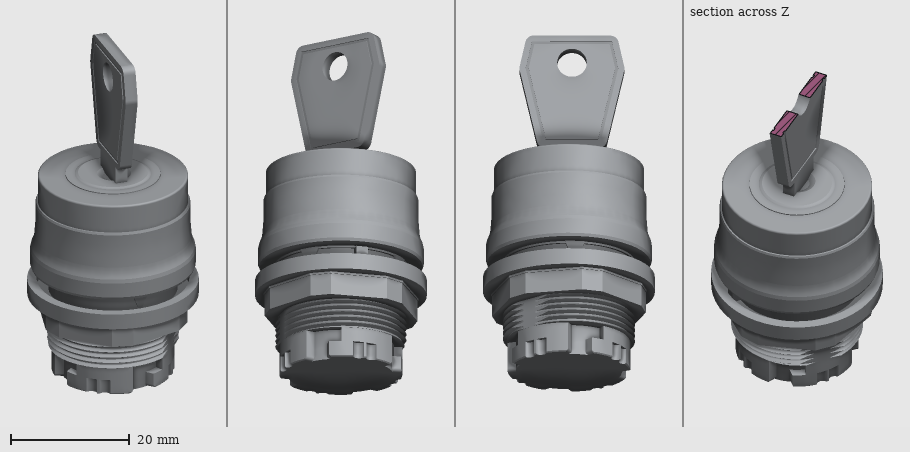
import cadquery as cq
import math


THREAD_BOTTOM = 5.15
NUT_BOTTOM = 10.2
NUT_TOP = 13.85
FLANGE_BOTTOM = 14.2
RECESS_FLOOR = 15.2
FLANGE_TOP = 16.95
RING_BOTTOM = 19.05
BEZEL_BOTTOM = 19.4
CAP_TOP = 36.36
LOCK_RING_TOP = 36.5
BARREL_TOP = 36.7
TOTAL_HEIGHT = 59.76

COLLAR_RADIUS = 20.75 / 2
COLLAR_CHAMFER = 0.2
SLOT_FLOOR_RADIUS = 17.91 / 2
SLOT_OVERCUT = 0.01
STEP_HEIGHT = 2.7
SLOT_COUNT = 4
SLOT_MOUTH_FILLET = 0.6
SLOT_START = (51, 47.1)
ENTRY_END = (28.3, 32.1)
LOCK_END = (16.3, 15.4)
SCALLOP_RADIUS = 1.0
SCALLOP_ANGLES = (0, -12.8)
SCALLOP_CENTER_OFFSET = 0.2
SCALLOP_CENTER_RADIUS = COLLAR_RADIUS + SCALLOP_CENTER_OFFSET

THREAD_ROOT_RADIUS = 20.92 / 2
THREAD_CREST_RADIUS = 22.3 / 2
THREAD_PITCH = 1.0
THREAD_FLANK_HALF_HEIGHT = 0.4
THREAD_ROOT_OVERLAP = 0.1
THREAD_START_ANGLE = -126

NUT_ACROSS_FLATS = 24.1
NUT_ACROSS_CORNERS = 25.75
NUT_TURN = -2.4
CORNER_TURN = 30
WASHER_MARGIN = 0.15
FLANGE_RADIUS = 29 / 2
FLANGE_BORE_RADIUS = 12.9
NECK_RADIUS = 21.85 / 2
RING_RADIUS = 22.6 / 2
WEDGE_COUNT = 4
WEDGE_START_ANGLE = 45
WEDGE_WIDTH = 3.4
WEDGE_TOP_RADIUS = 11.4
TAB_REACH = 12.35
TAB_WIDTH = 2.0

BEZEL_RADIUS = 28 / 2
BEZEL_CHAMFER_RADIUS = 13.8
BEZEL_CHAMFER_TOP = 19.9
BEZEL_SHOULDER = 22.5
BEZEL_FLARE_BOTTOM = (13.85, 23.17)
BEZEL_FLARE_MIDDLE = (13.47, 24.1)
BEZEL_FLARE_TOP = (13.28, 25.18)
BEZEL_WAIST = (13.08, 28.2)
BEZEL_TOP_RADIUS = 13.1
BEZEL_TOP = 31.45
BEZEL_TOP_CHAMFER_WIDTH = 0.15
BEZEL_TOP_CHAMFER_HEIGHT = 0.37
CAP_RADIUS = 12.7
CAP_FILLET = 0.35

LOCK_RING_RADIUS = 16 / 2
LOCK_BORE_RADIUS = 16.1 / 2
LOCK_GAP_DEPTH = 0.5
BARREL_RADIUS = 12.9 / 2
BARREL_BEVEL_WIDTH = 0.55
DISH_RADIUS = 2.9
DISH_FLOOR_RADIUS = 1.9
DISH_DEPTH = 0.5

KEY_TURN = -50
KEY_SHIFT = 0.5
KEY_THICKNESS = 2.15
KEY_BOTTOM = 39.66
KEY_WIDEST_LEVEL = 53.9
KEY_MAX_WIDTH = 17.8
KEY_TOP_WIDTH = 15.2
KEY_BOTTOM_WIDTH = 11.3
KEY_CORNER_RADIUS = 1.45
KEY_WIDEST_CORNER_RADIUS = 1.5
SHANK_WIDTH = 7.3
KEYWAY_CLEARANCE = 0.25
KEYWAY_DEPTH = 0.5
KEY_HOLE_DIAMETER = 5
KEY_HOLE_LEVEL = 54.88
GROOVE_INSET = 1.05
GROOVE_WIDTH = 0.5
GROOVE_DEPTH = 0.2


def cylinder(radius, bottom, top):
    return cq.Workplane("XY").workplane(offset=bottom).circle(radius).extrude(top - bottom)


def collar_point(radius, angle):
    """Point at an angle measured clockwise from -Y."""
    turn = math.radians(angle)
    return (-radius * math.sin(turn), -radius * math.cos(turn))


def slot_sector(start, end, bottom, top):
    """Slot volume between two walls, from the slot floor out past the collar surface."""
    middle = (start[1] + end[1]) / 2
    outer_radius = COLLAR_RADIUS + SLOT_OVERCUT
    outline = (
        cq.Workplane("XY")
        .workplane(offset=bottom)
        .moveTo(*collar_point(SLOT_FLOOR_RADIUS, start[1]))
        .lineTo(*collar_point(outer_radius, start[0]))
        .threePointArc(collar_point(outer_radius, middle), collar_point(outer_radius, end[0]))
        .lineTo(*collar_point(SLOT_FLOOR_RADIUS, end[1]))
        .threePointArc(
            collar_point(SLOT_FLOOR_RADIUS, middle), collar_point(SLOT_FLOOR_RADIUS, start[1])
        )
        .close()
    )
    return outline.extrude(top - bottom)


def make_collar():
    collar = cylinder(COLLAR_RADIUS, 0, THREAD_BOTTOM).faces("<Z").chamfer(COLLAR_CHAMFER)
    cutter = slot_sector(SLOT_START, ENTRY_END, 0, THREAD_BOTTOM)
    cutter = cutter.union(slot_sector(SLOT_START, LOCK_END, STEP_HEIGHT, THREAD_BOTTOM))
    for angle in SCALLOP_ANGLES:
        center = collar_point(SCALLOP_CENTER_RADIUS, angle)
        scallop = cylinder(SCALLOP_RADIUS, 0, STEP_HEIGHT).translate((*center, 0))
        cutter = cutter.union(scallop)
    for index in range(SLOT_COUNT):
        turn = index * 360 / SLOT_COUNT
        collar = collar.cut(cutter.rotate((0, 0, 0), (0, 0, 1), turn))
    slot_mouth_edges = collar.faces("<Z").edges("%LINE")
    return slot_mouth_edges.fillet(SLOT_MOUTH_FILLET)


def make_thread():
    """Single-start helical thread, cut flat on its +X and -X sides."""
    root = THREAD_ROOT_RADIUS - THREAD_ROOT_OVERLAP
    start = THREAD_BOTTOM - THREAD_PITCH
    length = NUT_BOTTOM - THREAD_BOTTOM + 2 * THREAD_PITCH
    helix = cq.Wire.makeHelix(THREAD_PITCH, length, root, center=cq.Vector(0, 0, start))
    ridge = (
        cq.Workplane("XZ")
        .moveTo(root, start - THREAD_FLANK_HALF_HEIGHT)
        .lineTo(THREAD_CREST_RADIUS, start)
        .lineTo(root, start + THREAD_FLANK_HALF_HEIGHT)
        .close()
        .sweep(cq.Workplane(helix), isFrenet=True)
        .rotate((0, 0, 0), (0, 0, 1), THREAD_START_ANGLE)
    )
    height = NUT_BOTTOM - THREAD_BOTTOM
    envelope = (
        cq.Workplane("XY")
        .workplane(offset=THREAD_BOTTOM)
        .rect(2 * COLLAR_RADIUS, 4 * COLLAR_RADIUS)
        .extrude(height)
    )
    core = cylinder(THREAD_ROOT_RADIUS, start - THREAD_PITCH, start + length + THREAD_PITCH)
    return core.union(ridge).intersect(envelope)


def hexagonal_prism(across_flats, turn, bottom, top):
    corner_diameter = across_flats / math.cos(math.pi / 6)
    return (
        cq.Workplane("XY")
        .workplane(offset=bottom)
        .polygon(6, corner_diameter)
        .extrude(top - bottom)
        .rotate((0, 0, 0), (0, 0, 1), turn)
    )


def truncated_hexagon(margin, bottom, top):
    """Nut outline with its six corners cut flat, grown outwards by a margin."""
    prism = hexagonal_prism(NUT_ACROSS_FLATS + 2 * margin, NUT_TURN, bottom, top)
    corner_cut = hexagonal_prism(NUT_ACROSS_CORNERS + 2 * margin, NUT_TURN + CORNER_TURN, bottom, top)
    return prism.intersect(corner_cut)


def make_nut():
    """Nut with a round flange whose top is recessed around the neck."""
    nut = truncated_hexagon(0, NUT_BOTTOM, NUT_TOP)
    nut = nut.union(truncated_hexagon(WASHER_MARGIN, NUT_TOP, FLANGE_BOTTOM))
    nut = nut.union(cylinder(FLANGE_RADIUS, FLANGE_BOTTOM, FLANGE_TOP))
    return nut.cut(cylinder(FLANGE_BORE_RADIUS, RECESS_FLOOR, FLANGE_TOP))


def make_neck():
    """Neck with four pointed grip wedges at 45 degrees and a locating tab on the +Y side."""
    neck = cylinder(NECK_RADIUS, RECESS_FLOOR, RING_BOTTOM)
    neck = neck.union(cylinder(RING_RADIUS, RING_BOTTOM, BEZEL_BOTTOM))
    cone = (
        cq.Workplane("XZ")
        .moveTo(0, RECESS_FLOOR)
        .lineTo(NECK_RADIUS, RECESS_FLOOR)
        .lineTo(WEDGE_TOP_RADIUS, BEZEL_BOTTOM)
        .lineTo(0, BEZEL_BOTTOM)
        .close()
        .revolve(360, (0, 0, 0), (0, 1, 0))
    )
    wedge_outline = [
        (0, RECESS_FLOOR),
        (WEDGE_WIDTH / 2, BEZEL_BOTTOM),
        (-WEDGE_WIDTH / 2, BEZEL_BOTTOM),
    ]
    wedge = cq.Workplane("XZ").polyline(wedge_outline).close().extrude(FLANGE_RADIUS).intersect(cone)
    for index in range(WEDGE_COUNT):
        turn = WEDGE_START_ANGLE + index * 360 / WEDGE_COUNT
        neck = neck.union(wedge.rotate((0, 0, 0), (0, 0, 1), turn))
    tab = (
        cq.Workplane("XY")
        .workplane(offset=RECESS_FLOOR)
        .center(0, TAB_REACH / 2)
        .rect(TAB_WIDTH, TAB_REACH)
        .extrude(RING_BOTTOM - RECESS_FLOOR)
    )
    return neck.union(tab)


def make_bezel():
    bezel = (
        cq.Workplane("XZ")
        .moveTo(0, BEZEL_BOTTOM)
        .lineTo(BEZEL_CHAMFER_RADIUS, BEZEL_BOTTOM)
        .lineTo(BEZEL_RADIUS, BEZEL_CHAMFER_TOP)
        .lineTo(BEZEL_RADIUS, BEZEL_SHOULDER)
        .lineTo(*BEZEL_FLARE_BOTTOM)
        .threePointArc(BEZEL_FLARE_MIDDLE, BEZEL_FLARE_TOP)
        .threePointArc(BEZEL_WAIST, (BEZEL_TOP_RADIUS, BEZEL_TOP - BEZEL_TOP_CHAMFER_HEIGHT))
        .lineTo(BEZEL_TOP_RADIUS - BEZEL_TOP_CHAMFER_WIDTH, BEZEL_TOP)
        .lineTo(0, BEZEL_TOP)
        .close()
        .revolve(360, (0, 0, 0), (0, 1, 0))
    )
    cap = cylinder(CAP_RADIUS, BEZEL_TOP, CAP_TOP).faces(">Z").edges().fillet(CAP_FILLET)
    return bezel.union(cap)


def key_outline(inset):
    """Key head outline in the XZ plane, moved inwards by an equal distance on every side."""
    upper_slope = (KEY_MAX_WIDTH - KEY_TOP_WIDTH) / 2 / (TOTAL_HEIGHT - KEY_WIDEST_LEVEL)
    lower_slope = (KEY_MAX_WIDTH - KEY_BOTTOM_WIDTH) / 2 / (KEY_WIDEST_LEVEL - KEY_BOTTOM)
    upper_shift = inset * math.hypot(1, upper_slope)
    lower_shift = inset * math.hypot(1, lower_slope)
    top_half = KEY_TOP_WIDTH / 2 + upper_slope * inset - upper_shift
    bottom_half = KEY_BOTTOM_WIDTH / 2 + lower_slope * inset - lower_shift
    widest_rise = (upper_shift - lower_shift) / -(upper_slope + lower_slope)
    widest_half = KEY_MAX_WIDTH / 2 + lower_slope * widest_rise - lower_shift
    right_side = [
        (bottom_half, KEY_BOTTOM + inset),
        (widest_half, KEY_WIDEST_LEVEL + widest_rise),
        (top_half, TOTAL_HEIGHT - inset),
    ]
    left_side = [(-x, z) for x, z in reversed(right_side)]
    return right_side + left_side


def key_plate(inset, thickness):
    outline = cq.Workplane("XZ").polyline(key_outline(inset)).close()
    return outline.extrude(thickness / 2, both=True)


def place_key(body):
    """Turn a body about Z to the key direction and shift it along that direction."""
    turn = math.radians(KEY_TURN)
    offset = (KEY_SHIFT * math.cos(turn), KEY_SHIFT * math.sin(turn), 0)
    return body.rotate((0, 0, 0), (0, 0, 1), KEY_TURN).translate(offset)


def make_key():
    head = key_plate(0, KEY_THICKNESS)
    widest = head.edges("|Y").edges(cq.selectors.BoxSelector(
        (-KEY_MAX_WIDTH, -KEY_THICKNESS, KEY_WIDEST_LEVEL - KEY_CORNER_RADIUS),
        (KEY_MAX_WIDTH, KEY_THICKNESS, KEY_WIDEST_LEVEL + KEY_CORNER_RADIUS),
    ))
    head = widest.fillet(KEY_WIDEST_CORNER_RADIUS)
    head = head.faces("<Z or >Z").edges("|Y").fillet(KEY_CORNER_RADIUS)
    groove = key_plate(GROOVE_INSET, 2 * KEY_THICKNESS)
    groove = groove.cut(key_plate(GROOVE_INSET + GROOVE_WIDTH, 2 * KEY_THICKNESS))
    groove = groove.cut(key_plate(0, KEY_THICKNESS - 2 * GROOVE_DEPTH))
    hole = (
        cq.Workplane("XZ")
        .center(0, KEY_HOLE_LEVEL)
        .circle(KEY_HOLE_DIAMETER / 2)
        .extrude(KEY_THICKNESS, both=True)
    )
    shank_bottom = BARREL_TOP - 2 * KEYWAY_DEPTH
    shank = (
        cq.Workplane("XY")
        .workplane(offset=shank_bottom)
        .rect(SHANK_WIDTH, KEY_THICKNESS)
        .extrude(KEY_BOTTOM - shank_bottom)
    )
    return place_key(head.cut(groove).cut(hole).union(shank))


def make_lock():
    """Lock barrel with a bevelled rim, standing in the lock ring."""
    base = CAP_TOP - LOCK_GAP_DEPTH
    ring = cylinder(LOCK_RING_RADIUS, base, LOCK_RING_TOP)
    barrel = (
        cq.Workplane("XY")
        .workplane(offset=base)
        .circle(BARREL_RADIUS)
        .extrude(BARREL_TOP - base)
        .faces(">Z")
        .chamfer(BARREL_TOP - LOCK_RING_TOP, BARREL_BEVEL_WIDTH)
    )
    dish = (
        cq.Workplane("XZ")
        .moveTo(0, BARREL_TOP - DISH_DEPTH)
        .lineTo(DISH_FLOOR_RADIUS, BARREL_TOP - DISH_DEPTH)
        .lineTo(DISH_RADIUS, BARREL_TOP)
        .lineTo(0, BARREL_TOP)
        .close()
        .revolve(360, (0, 0, 0), (0, 1, 0))
    )
    keyway = (
        cq.Workplane("XY")
        .workplane(offset=BARREL_TOP - KEYWAY_DEPTH)
        .rect(SHANK_WIDTH + 2 * KEYWAY_CLEARANCE, KEY_THICKNESS)
        .extrude(KEYWAY_DEPTH)
    )
    return ring.union(barrel).cut(place_key(dish)).cut(place_key(keyway))


def make_switch():
    lock_bore = cylinder(LOCK_BORE_RADIUS, CAP_TOP - LOCK_GAP_DEPTH, CAP_TOP)
    switch = make_bezel().cut(lock_bore)
    for section in (make_lock(), make_key(), make_neck(), make_nut(), make_thread(), make_collar()):
        switch = switch.union(section)
    return switch


result = make_switch()